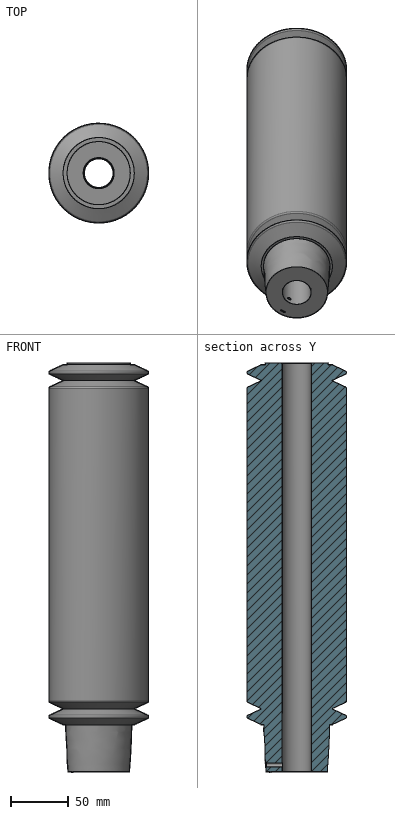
import math

import cadquery as cq

total_height = 356.43
body_diameter = 87.0
bore_diameter = 25.0
bore_chamfer_width = 1.0
bore_chamfer_depth = 0.5

shank_length = 41.0
shank_bottom_diameter = 53.6
shank_middle_diameter = 56.4
shank_top_diameter = 57.8

side_hole_diameter = 3.0
side_hole_mouth_diameter = 5.2
side_hole_height = 6.6

pad_diameter = 11.45
pad_thickness = 1.0
pad_center_x = -23.0
pad_protrusion = 0.43

cone_root_diameter = 62.0
cone_angle = 25.0
rim_radius = 1.75

boss_diameter = 55.0
boss_height = 1.5

body_radius = body_diameter / 2
root_radius = cone_root_diameter / 2

cone_slope = math.radians(cone_angle)
tangent_radius = body_radius - rim_radius * (1 - math.sin(cone_slope))
tangent_rise = rim_radius * math.cos(cone_slope)

cone_rise = tangent_rise + (tangent_radius - root_radius) * math.tan(cone_slope)

shank_bottom = pad_protrusion
shank_top = shank_bottom + shank_length
lower_rim = shank_top + cone_rise
lower_groove = lower_rim + cone_rise
body_bottom = lower_groove + cone_rise
boss_bottom = total_height - boss_height
upper_rim = boss_bottom - cone_rise
upper_groove = upper_rim - cone_rise
body_top = upper_groove - cone_rise


def rim_midpoint(center_height, direction):
    """Middle of the rounding between the cylinder and the cone on one side (+1 above, -1 below)."""
    half_turn = (math.pi / 2 - cone_slope) / 2
    radius = body_radius - rim_radius * (1 - math.cos(half_turn))
    return radius, center_height + direction * rim_radius * math.sin(half_turn)


def add_flange_rim(outline, center_height):
    """Continue the outline up the lower cone and around the full rim of a flange."""
    return (
        outline
        .lineTo(tangent_radius, center_height - tangent_rise)
        .threePointArc((body_radius, center_height), (tangent_radius, center_height + tangent_rise))
    )


def make_turned_body():
    """Revolve the outer outline, drawn from the shank end face up to the boss."""
    outline = (
        cq.Workplane("XZ")
        .moveTo(0, shank_bottom)
        .lineTo(shank_bottom_diameter / 2, shank_bottom)
        .threePointArc(
            (shank_middle_diameter / 2, (shank_bottom + shank_top) / 2),
            (shank_top_diameter / 2, shank_top),
        )
        .lineTo(root_radius, shank_top)
    )
    outline = (
        add_flange_rim(outline, lower_rim)
        .lineTo(root_radius, lower_groove)
        .lineTo(tangent_radius, body_bottom - tangent_rise)
        .threePointArc(rim_midpoint(body_bottom, -1), (body_radius, body_bottom))
        .lineTo(body_radius, body_top)
        .threePointArc(rim_midpoint(body_top, 1), (tangent_radius, body_top + tangent_rise))
        .lineTo(root_radius, upper_groove)
    )
    outline = (
        add_flange_rim(outline, upper_rim)
        .lineTo(root_radius, boss_bottom)
        .lineTo(boss_diameter / 2, boss_bottom)
        .lineTo(boss_diameter / 2, total_height)
        .lineTo(0, total_height)
        .close()
    )
    return outline.revolve(360, (0, 0, 0), (0, 1, 0))


def make_pad():
    """Disc on an X axis whose lowest point lies at Z = 0."""
    return (
        cq.Workplane("YZ", origin=(pad_center_x, 0, pad_diameter / 2))
        .circle(pad_diameter / 2)
        .extrude(pad_thickness / 2, both=True)
    )


def make_bore():
    """Through bore with a chamfered upper mouth."""
    bore_radius = bore_diameter / 2
    return (
        cq.Workplane("XZ")
        .moveTo(0, 0)
        .lineTo(bore_radius, 0)
        .lineTo(bore_radius, total_height - bore_chamfer_depth)
        .lineTo(bore_radius + bore_chamfer_width, total_height)
        .lineTo(0, total_height)
        .close()
        .revolve(360, (0, 0, 0), (0, 1, 0))
    )


def make_side_hole():
    """Radial hole from the -X side into the bore, countersunk at the shank surface."""
    drill = (
        cq.Workplane("YZ", origin=(0, 0, side_hole_height))
        .circle(side_hole_diameter / 2)
        .extrude(-body_radius)
    )
    countersink_depth = (side_hole_mouth_diameter - side_hole_diameter) / 2
    shank_taper = (shank_middle_diameter - shank_bottom_diameter) / shank_length
    mouth_x = -(shank_bottom_diameter / 2 + shank_taper * (side_hole_height - shank_bottom))
    countersink = cq.Solid.makeCone(
        side_hole_mouth_diameter / 2,
        side_hole_diameter / 2,
        countersink_depth,
        cq.Vector(mouth_x, 0, side_hole_height),
        cq.Vector(1, 0, 0),
    )
    return drill.union(cq.Workplane(countersink))


result = make_turned_body().union(make_pad()).cut(make_bore()).cut(make_side_hole())